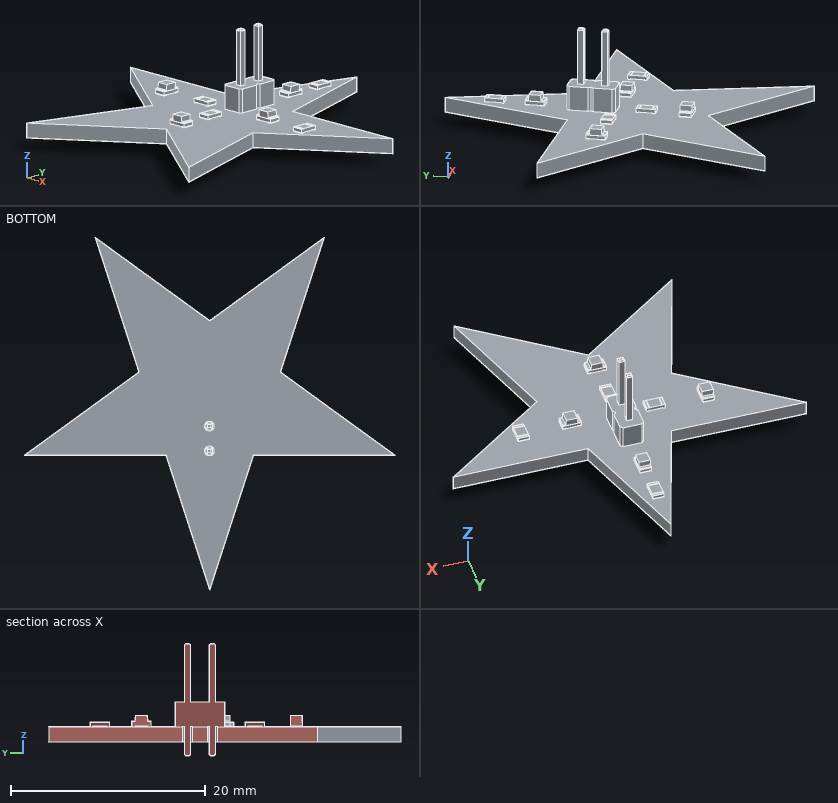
import cadquery as cq
import math

board_width = 38.05
board_thickness = 1.6
star_points = 5
tip_angle = 2 * math.pi / star_points
tip_radius = board_width / (2 * math.sin(tip_angle))
notch_radius = tip_radius * math.cos(tip_angle) / math.cos(tip_angle / 2)
column_x = -0.05
row_y = 1.98

pin_pitch = 2.55
pin_count = 2
header_y = 4.45
header_width = pin_pitch
header_height = 2.55
header_corner = 0.25
pin_side = 0.65
pin_tip_chamfer = 0.15
pin_length = 11.53
pin_below_board = 1.4
pin_hole_diameter = 1.0

chip_length = 2.0
slab_bottom = 0.057
slab_top = 0.437
pad_end_inset = 0.02

resistor_width = 1.18
resistor_pad_length = 0.25
resistor_coating = 0.02
resistor_gap = 0.057

led_width = 1.25
led_pad_length = 0.35
led_pad_width = 1.18
led_top_pad = 0.1
led_height = 1.15
lens_width = 1.2
lens_bottom_length = 1.37
lens_top_length = 1.2

resistor_places = [
    (column_x, 14.72, 90),
    (-4.0, row_y, 0),
    (10.4, row_y, 90),
    (column_x, -1.18, 90),
]
led_places = [
    (column_x, 10.45, 90),
    (-9.55, row_y, 90),
    (5.05, row_y, 0),
    (column_x, -5.45, 0),
]

first_pin_y = header_y - pin_pitch * (pin_count - 1) / 2
pin_spots = [(column_x, first_pin_y + i * pin_pitch) for i in range(pin_count)]


def block(length, width, height, bottom=0.0):
    """Box centred on the Z axis, standing on the given level."""
    return cq.Workplane("XY").workplane(offset=bottom).rect(length, width).extrude(height)


def make_board():
    """Regular star plate with a round hole for each header pin."""
    outline = []
    for i in range(2 * star_points):
        radius = tip_radius if i % 2 == 0 else notch_radius
        angle = math.pi / 2 + i * tip_angle / 2
        outline.append((radius * math.cos(angle), radius * math.sin(angle)))
    plate = cq.Workplane("XY").polyline(outline).close().extrude(board_thickness)
    holes = cq.Workplane("XY").pushPoints(pin_spots).circle(pin_hole_diameter / 2).extrude(board_thickness)
    return plate.cut(holes)


def make_header():
    """Chamfered blocks joined in a row, each with a square pin running through it."""
    pin_block = block(header_width, pin_pitch, header_height, board_thickness)
    pin_block = pin_block.edges("|Z").chamfer(header_corner)
    pin = block(pin_side, pin_side, pin_length, -pin_below_board)
    pin = pin.faces("<Z or >Z").chamfer(pin_tip_chamfer)
    unit = pin_block.union(pin)
    header = cq.Workplane("XY")
    for x, y in pin_spots:
        header = header.union(unit.translate((x, y, 0)))
    return header


def make_chip_base(width, pad_length, pad_width, top_pad_height):
    """Slab standing on a pad at each end, with a matching pad on top of each end."""
    base = block(chip_length, width, slab_top - slab_bottom, slab_bottom)
    pad = block(pad_length, pad_width, slab_top + top_pad_height)
    pad_offset = (chip_length - pad_length) / 2 - pad_end_inset
    for side in (-1, 1):
        base = base.union(pad.translate((side * pad_offset, 0, 0)))
    return base


def make_resistor():
    """Chip base with a thin layer on top, a small gap away from each pad."""
    base = make_chip_base(resistor_width, resistor_pad_length, resistor_width, resistor_coating)
    layer_length = chip_length - 2 * (pad_end_inset + resistor_pad_length + resistor_gap)
    return base.union(block(layer_length, resistor_width, resistor_coating, slab_top))


def make_led():
    """Chip base carrying a lens whose two ends slope inwards."""
    base = make_chip_base(led_width, led_pad_length, led_pad_width, led_top_pad)
    lens = (
        cq.Workplane("XZ")
        .polyline([
            (-lens_bottom_length / 2, slab_top),
            (lens_bottom_length / 2, slab_top),
            (lens_top_length / 2, led_height),
            (-lens_top_length / 2, led_height),
        ])
        .close()
        .extrude(lens_width / 2, both=True)
    )
    return base.union(lens)


def place_copies(part, places):
    """One separate solid per place, standing on the board's top face."""
    copies = []
    for x, y, turn in places:
        turned = part.rotate((0, 0, 0), (0, 0, 1), turn)
        copies.append(turned.translate((x, y, board_thickness)).val())
    return copies


board = make_board()
header = make_header()
resistors = place_copies(make_resistor(), resistor_places)
leds = place_copies(make_led(), led_places)

result = cq.Compound.makeCompound([board.val(), header.val(), *resistors, *leds])